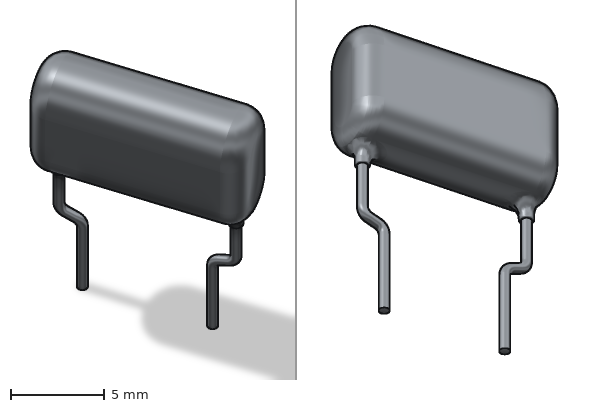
import cadquery as cq
import math

total_height = 17.8
case_length = 12.6
case_depth = 4.4
case_height = 7.8
end_rounding = 1.26

collar_diameter = 0.84
collar_bottom = 9.0
collar_root_fillet = 1.0
collar_rim_fillet = 0.09

lead_diameter = 0.6
lead_top_offset = 5.1
lead_tip_offset = 3.75
bend_start = 6.34
bend_radius = 0.6
bend_angle = math.radians(70)

case_center_height = total_height - case_height / 2


def make_case():
    """Stadium-section case with rounded ends and a flared collar above each lead."""
    case = (
        cq.Workplane("YZ", origin=(-case_length / 2, 0, case_center_height))
        .slot2D(case_height, case_depth, 90)
        .extrude(case_length)
        .faces("<X or >X")
        .edges()
        .fillet(end_rounding)
    )
    collars = (
        cq.Workplane("XY", origin=(0, 0, collar_bottom))
        .pushPoints([(-lead_top_offset, 0), (lead_top_offset, 0)])
        .circle(collar_diameter / 2)
        .extrude(case_center_height - collar_bottom)
    )
    case = case.union(collars)

    root_reach = collar_diameter
    for side in (-1, 1):
        x = side * lead_top_offset
        root_zone = cq.selectors.BoxSelector(
            (x - root_reach, -root_reach, collar_bottom + collar_rim_fillet),
            (x + root_reach, root_reach, case_center_height - case_height / 4),
            boundingbox=True,
        )
        case = case.edges(root_zone).fillet(collar_root_fillet)
    return case.faces("<Z").edges().fillet(collar_rim_fillet)


def make_lead(side):
    """Round wire on one side (-1 or 1), stepping inward through two equal bends."""

    def point(inward, height):
        return (side * (lead_top_offset - inward), height)

    def arc_step(angle):
        return bend_radius * (1 - math.cos(angle)), bend_radius * math.sin(angle)

    step = lead_top_offset - lead_tip_offset
    arc_in, arc_drop = arc_step(bend_angle)
    half_in, half_drop = arc_step(bend_angle / 2)
    slope_in = step - 2 * arc_in
    slope_drop = slope_in / math.tan(bend_angle)
    bend_end = bend_start - 2 * arc_drop - slope_drop

    path = (
        cq.Workplane("XZ")
        .moveTo(*point(0, collar_bottom))
        .lineTo(*point(0, bend_start))
        .threePointArc(point(half_in, bend_start - half_drop), point(arc_in, bend_start - arc_drop))
        .lineTo(*point(step - arc_in, bend_end + arc_drop))
        .threePointArc(point(step - half_in, bend_end + half_drop), point(step, bend_end))
        .lineTo(*point(step, 0))
    )
    return (
        cq.Workplane("XY", origin=(side * lead_top_offset, 0, collar_bottom))
        .circle(lead_diameter / 2)
        .sweep(path)
    )


case = make_case()
leads = [make_lead(side) for side in (-1, 1)]

result = cq.Compound.makeCompound([case.val(), *[lead.val() for lead in leads]])